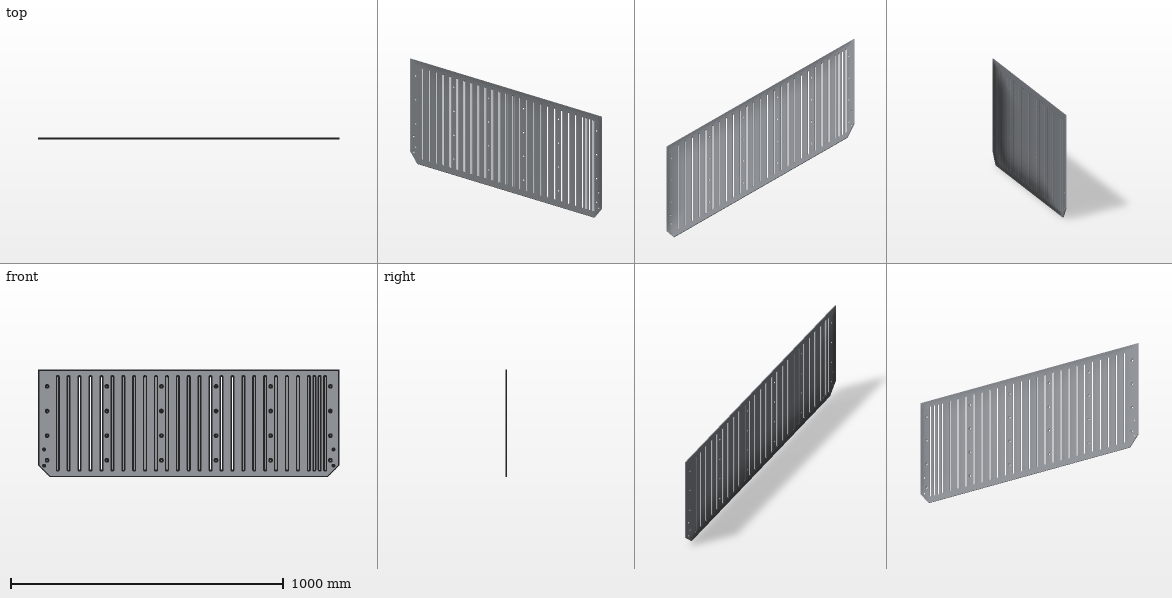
import cadquery as cq

length = 1100.0
height = 390.0
thickness = 3.2
corner_cut = 42.0
front_y = -thickness / 2
back_y = thickness / 2

slot_pitch = length / 27.5
slots_left_of_centre = 12
slots_right_of_centre = 11
close_pitch = slot_pitch / 2
close_slots = 3
slot_length = 350.0
slot_width = 11.0
slot_step_depth = thickness / 2
slot_ledge = 2.3

fixing_diameter = 7.0
fixing_bore_diameter = 13.0
fixing_bore_depth = 1.3
row_pitch = 90.0
row_count = 4
inner_column_pitch = 5 * slot_pitch
inner_column_count = 4
outer_column_x = 519.0

mount_diameter = 5.0
mount_sink_diameter = 10.0
mount_sink_depth = 2.0
mount_x = 530.0
mount_heights = (-96.0, -155.0)


def plate():
    """Rectangular sheet with both bottom corners cut at 45 degrees."""
    sheet = cq.Workplane("XY").box(length, thickness, height)
    return sheet.faces("<Z").edges("|Y").chamfer(corner_cut)


def centred_places(count, pitch):
    """Evenly spaced positions, symmetric about zero."""
    return [(i - (count - 1) / 2) * pitch for i in range(count)]


def upright_plane(y):
    """Workplane at depth y, with X right and Z up; negative extrusion runs toward +Y."""
    return cq.Workplane("XZ", origin=(0, y, 0))


def slot_positions():
    """X of every slot: the even row followed by the close group."""
    even_row = [i * slot_pitch for i in range(-slots_left_of_centre, slots_right_of_centre + 1)]
    close_group = [even_row[-1] + i * close_pitch for i in range(1, close_slots + 1)]
    return even_row + close_group


def slot_cutters(inset, depth):
    """Round-ended upright cutters from the front face, shrunk all round by the inset."""
    points = [(x, 0) for x in slot_positions()]
    outlines = upright_plane(front_y).pushPoints(points)
    outlines = outlines.slot2D(slot_length - 2 * inset, slot_width - 2 * inset, 90)
    return outlines.extrude(-depth)


def cut_slots(body):
    """Wide slots at the front stepping down to narrow ones through the back."""
    return body.cut(slot_cutters(0, slot_step_depth)).cut(slot_cutters(slot_ledge, thickness))


def cut_fixing_holes(body):
    """Grid of through holes with a shallow counterbore in the back face."""
    inner_columns = centred_places(inner_column_count, inner_column_pitch)
    columns = [-outer_column_x] + inner_columns + [outer_column_x]
    points = [(x, z) for x in columns for z in centred_places(row_count, row_pitch)]
    holes = upright_plane(front_y).pushPoints(points).circle(fixing_diameter / 2).extrude(-thickness)
    bores = upright_plane(back_y).pushPoints(points).circle(fixing_bore_diameter / 2)
    return body.cut(holes).cut(bores.extrude(fixing_bore_depth))


def cut_mount_holes(body):
    """Two countersunk through holes beside each end of the plate."""
    sink_profile = [
        (0, front_y),
        (mount_sink_diameter / 2, front_y),
        (mount_diameter / 2, front_y + mount_sink_depth),
        (mount_diameter / 2, back_y),
        (0, back_y),
    ]
    cutter = cq.Workplane("XY").polyline(sink_profile).close().revolve(360, (0, 0, 0), (0, 1, 0))
    for x in (-mount_x, mount_x):
        for z in mount_heights:
            body = body.cut(cutter.translate((x, 0, z)))
    return body


result = cut_mount_holes(cut_fixing_holes(cut_slots(plate()))).solids()